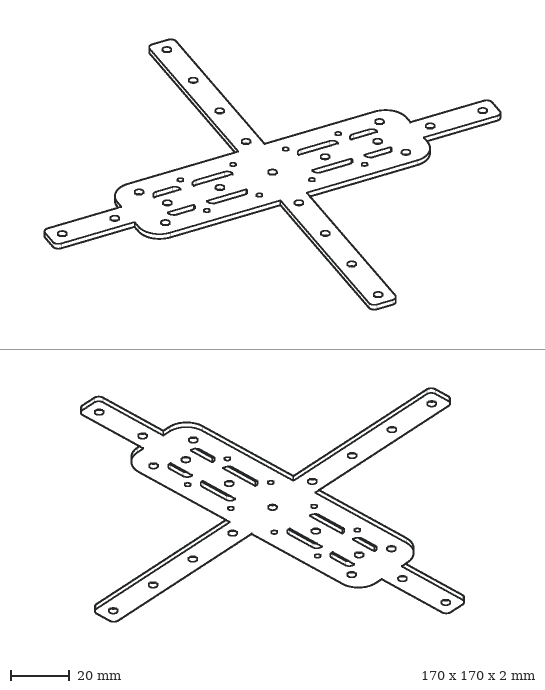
import cadquery as cq

arm_length = 170.0
arm_width = 10.0
thickness = 2.0
tip_radius = 2.0

plate_width = 32.0
plate_length = 110.0
plate_corner_radius = 8.0

arm_hole_diameter = 3.0
holes_per_arm = 9
hole_pitch = (arm_length - arm_width) / (holes_per_arm - 1)
side_hole_x = hole_pitch / 2
corner_hole_diameter = 3.0
corner_hole_y = 45.7
small_hole_diameter = 2.0
small_hole_rows = [hole_pitch / 2, 1.5 * hole_pitch]

window_width = 15.0
window_corner_radius = 2.0
long_window_length = 15.0
short_window_length = 10.0
window_gap = 5.0
long_window_y = hole_pitch
short_window_y = long_window_y + (long_window_length + short_window_length) / 2 + window_gap


def rounded_bar(size_x, size_y, corner_radius, center_y=0):
    """Flat bar on the XY plane with rounded vertical corners."""
    bar = cq.Workplane("XY").box(size_x, size_y, thickness, centered=(True, True, False))
    return bar.edges("|Z").fillet(corner_radius).translate((0, center_y, 0))


def mirrored(x, y):
    """The four mirror images of a point about both axes."""
    return [(sx * x, sy * y) for sx in (-1, 1) for sy in (-1, 1)]


def drill(body, points, diameter):
    """Cut through holes at the given points."""
    cutters = cq.Workplane("XY").pushPoints(points).circle(diameter / 2).extrude(thickness)
    return body.cut(cutters)


plate = rounded_bar(plate_width, plate_length, plate_corner_radius)
for length, distance in [
    (long_window_length, long_window_y),
    (short_window_length, short_window_y),
]:
    for side in (-1, 1):
        plate = plate.cut(rounded_bar(window_width, length, window_corner_radius, side * distance))

arm_x = rounded_bar(arm_length, arm_width, tip_radius)
arm_y = rounded_bar(arm_width, arm_length, tip_radius)
body = plate.union(arm_x).union(arm_y)

offsets = [(i - (holes_per_arm - 1) / 2) * hole_pitch for i in range(holes_per_arm)]
row_x = [(offset, 0) for offset in offsets if offset != 0]
row_y = [(0, offset) for offset in offsets]
body = drill(body, row_x + row_y, arm_hole_diameter)

body = drill(body, mirrored(side_hole_x, corner_hole_y), corner_hole_diameter)
for row in small_hole_rows:
    body = drill(body, mirrored(side_hole_x, row), small_hole_diameter)

result = body